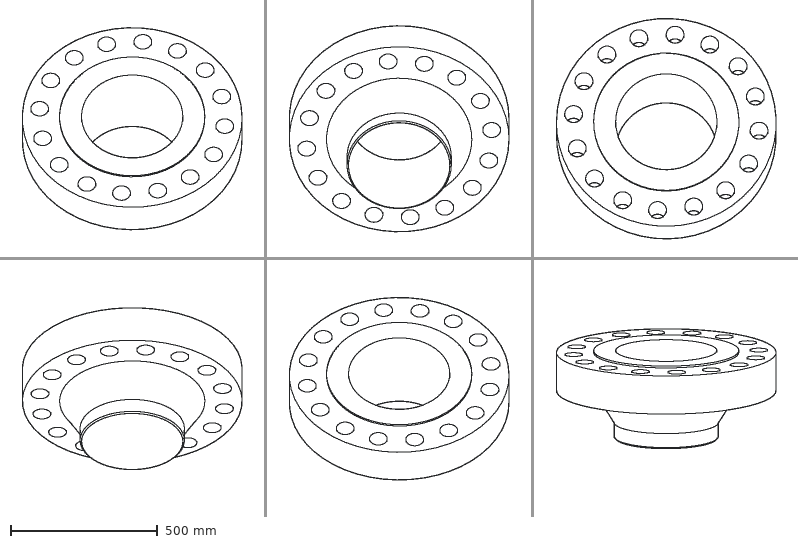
import cadquery as cq

flange_diameter = 749.3
flange_thickness = 133.35

face_diameter = 495.3
face_height = 6.35

hub_diameter = face_diameter
neck_diameter = 355.6
neck_length = 54.0
overall_height = 304.8

bevel_height = 5.0
bevel_width = 5.0

bore_diameter = 345.0

bolt_count = 16
bolt_circle_diameter = 635.0
bolt_hole_diameter = 60.325

flange_top = overall_height - face_height
flange_bottom = flange_top - flange_thickness


def flange_body():
    """Revolve the outer outline: bevel, neck, tapered hub, ring and raised face."""
    neck_radius = neck_diameter / 2
    outline = (
        cq.Workplane("XZ")
        .moveTo(0, 0)
        .lineTo(neck_radius - bevel_width, 0)
        .lineTo(neck_radius, bevel_height)
        .lineTo(neck_radius, neck_length)
        .lineTo(hub_diameter / 2, flange_bottom)
        .lineTo(flange_diameter / 2, flange_bottom)
        .lineTo(flange_diameter / 2, flange_top)
        .lineTo(face_diameter / 2, flange_top)
        .lineTo(face_diameter / 2, overall_height)
        .lineTo(0, overall_height)
        .close()
    )
    return outline.revolve(360, (0, 0, 0), (0, 1, 0))


def bore():
    """Straight cylinder through the full height."""
    return cq.Workplane("XY").circle(bore_diameter / 2).extrude(overall_height)


def bolt_holes():
    """Ring of through holes, offset half a pitch from the X axis."""
    half_pitch = 360 / bolt_count / 2
    return (
        cq.Workplane("XY")
        .workplane(offset=flange_bottom)
        .polarArray(bolt_circle_diameter / 2, half_pitch, 360, bolt_count)
        .circle(bolt_hole_diameter / 2)
        .extrude(flange_thickness)
    )


result = flange_body().cut(bore()).cut(bolt_holes())